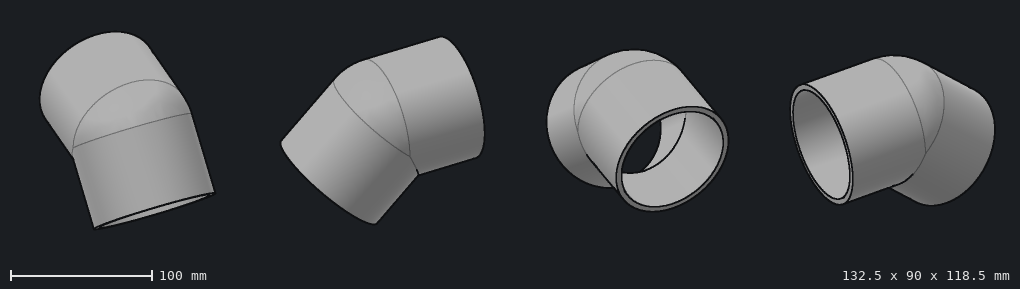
import cadquery as cq
import math

overall_length = 132.5
outer_diameter = 90.0
inner_diameter = 81.4
bend_angle = 45.0

bend = math.radians(bend_angle)
leg_length = (overall_length - outer_diameter / 2 * math.sin(bend)) / (1 + math.cos(bend))

corner = cq.Vector(0, 0, 0)
inlet_direction = cq.Vector(-1, 0, 0)
outlet_direction = cq.Vector(math.cos(bend), 0, -math.sin(bend))


def elbow_body(diameter):
    """Solid elbow: two cylinders joined by a sphere of the same diameter."""
    radius = diameter / 2
    inlet = cq.Solid.makeCylinder(radius, leg_length, corner, inlet_direction)
    outlet = cq.Solid.makeCylinder(radius, leg_length, corner, outlet_direction)
    ball = cq.Workplane("XZ").sphere(radius)
    return cq.Workplane(inlet).union(cq.Workplane(outlet)).union(ball)


result = elbow_body(outer_diameter).cut(elbow_body(inner_diameter))